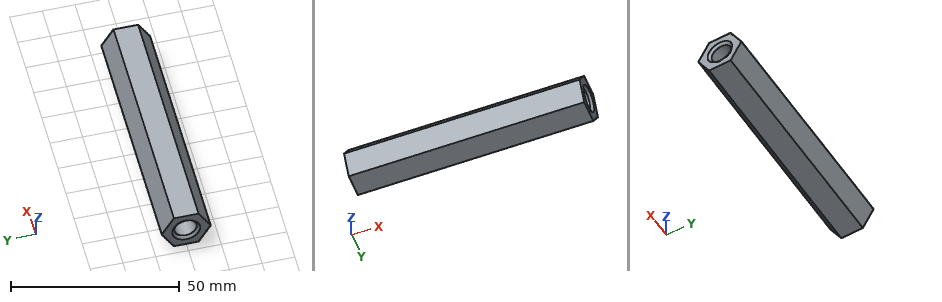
import cadquery as cq
import math

length = 75.0
across_corners = 15.0

bore_diameter = 6.8
bore_depth = 22.5
drill_point_angle = 118.0
mouth_diameter = 8.55
mouth_chamfer_angle = 90.0

bore_radius = bore_diameter / 2
mouth_radius = mouth_diameter / 2
mouth_depth = (mouth_radius - bore_radius) / math.tan(math.radians(mouth_chamfer_angle / 2))
drill_point_depth = bore_radius / math.tan(math.radians(drill_point_angle / 2))


def hex_bar():
    """Hexagonal bar centred on the origin, corners pointing along Y."""
    return cq.Workplane("YZ").polygon(6, across_corners).extrude(length / 2, both=True)


def blind_bore():
    """Countersunk bore with a conical bottom, entering from the -X end."""
    mouth_x = -length / 2
    return (
        cq.Workplane("XY")
        .moveTo(mouth_x, 0)
        .lineTo(mouth_x, mouth_radius)
        .lineTo(mouth_x + mouth_depth, bore_radius)
        .lineTo(mouth_x + bore_depth, bore_radius)
        .lineTo(mouth_x + bore_depth + drill_point_depth, 0)
        .close()
        .revolve(360, (0, 0, 0), (1, 0, 0))
    )


near_bore = blind_bore()
far_bore = near_bore.mirror("YZ")
result = hex_bar().cut(near_bore).cut(far_bore)